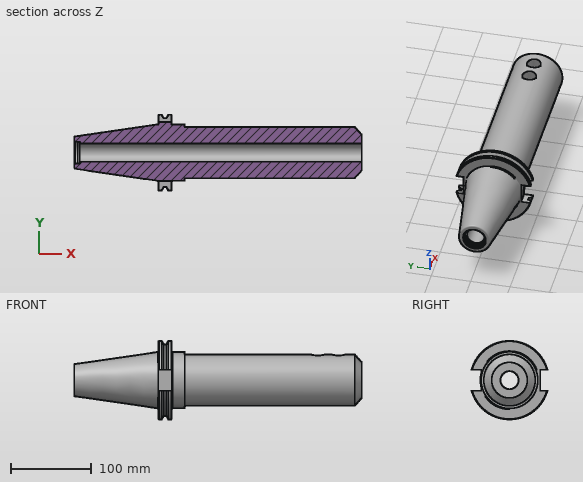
import cadquery as cq
import math

total_length = 355.5

large_end_diameter = 70.0
taper_length = 103.0
taper_ratio = 7 / 24
small_end_diameter = large_end_diameter - taper_length * taper_ratio
small_end_round = 1.8

flange_diameter = 97.5
flange_start = 104.2
flange_width = 16.5
flange_end = flange_start + flange_width
rim_chamfer = 0.7
groove_center = 112.5
groove_floor_diameter = 89.0
groove_floor_width = 3.2
groove_half_angle = 30.0

slot_width = 25.5
slot_floor_front = 35.2
slot_floor_back = 38.0

collar_diameter = 70.0
collar_end = 136.5
body_diameter = 63.5
nose_length = 9.0
nose_face_diameter = 44.0

taper_round = flange_start - taper_length
shoulder_round = 1.0

bore_diameter = 22.0
entry_diameter = 26.5
entry_depth = 4.3
counterbore_diameter = 26.3
counterbore_depth = 7.0
countersink_diameter = 29.0

screw_hole_diameter = 17.5
screw_hole_positions = (301.2, 326.8)


def make_revolved_body():
    """Revolve the complete outer outline about the X axis."""
    flange_radius = flange_diameter / 2
    profile = (
        cq.Workplane("XY")
        .lineTo(0, small_end_diameter / 2)
        .lineTo(taper_length, large_end_diameter / 2)
        .radiusArc((flange_start, large_end_diameter / 2 + taper_round), -taper_round)
        .lineTo(flange_start, flange_radius - rim_chamfer)
        .lineTo(flange_start + rim_chamfer, flange_radius)
        .lineTo(flange_end - rim_chamfer, flange_radius)
        .lineTo(flange_end, flange_radius - rim_chamfer)
        .lineTo(flange_end, collar_diameter / 2 + shoulder_round)
        .radiusArc((flange_end + shoulder_round, collar_diameter / 2), -shoulder_round)
        .lineTo(collar_end, collar_diameter / 2)
        .lineTo(collar_end, body_diameter / 2 + shoulder_round)
        .radiusArc((collar_end + shoulder_round, body_diameter / 2), -shoulder_round)
        .lineTo(total_length - nose_length, body_diameter / 2)
        .lineTo(total_length, nose_face_diameter / 2)
        .lineTo(total_length, 0)
        .close()
    )
    body = profile.revolve(360, (0, 0, 0), (1, 0, 0))
    return body.faces("<X").edges().fillet(small_end_round)


def make_rim_groove():
    """Ring with a trapezoidal section that cuts the V groove."""
    floor_radius = groove_floor_diameter / 2
    rim_radius = flange_diameter / 2
    half_floor = groove_floor_width / 2
    half_mouth = half_floor + (rim_radius - floor_radius) * math.tan(math.radians(groove_half_angle))
    section = [
        (groove_center - half_floor, floor_radius),
        (groove_center + half_floor, floor_radius),
        (groove_center + half_mouth, rim_radius),
        (groove_center - half_mouth, rim_radius),
    ]
    return cq.Workplane("XY").polyline(section).close().revolve(360, (0, 0, 0), (1, 0, 0))


def make_drive_slot(floor_distance, side):
    """Slot through the flange, open toward the given side of Y (+1 or -1)."""
    depth = flange_diameter / 2 - floor_distance
    slot = cq.Workplane("XY").box(flange_width, depth, slot_width, centered=(False, True, True))
    return slot.translate((flange_start, side * (floor_distance + depth / 2), 0))


def make_bore():
    """Through bore, two-step counterbore and 45 degree countersink about the X axis."""
    countersink_depth = (countersink_diameter - entry_diameter) / 2
    profile = (
        cq.Workplane("XY")
        .lineTo(0, countersink_diameter / 2)
        .lineTo(countersink_depth, entry_diameter / 2)
        .lineTo(entry_depth, entry_diameter / 2)
        .lineTo(entry_depth, counterbore_diameter / 2)
        .lineTo(counterbore_depth, counterbore_diameter / 2)
        .lineTo(counterbore_depth, bore_diameter / 2)
        .lineTo(total_length, bore_diameter / 2)
        .lineTo(total_length, 0)
        .close()
    )
    return profile.revolve(360, (0, 0, 0), (1, 0, 0))


def make_screw_holes():
    centers = [(position, 0) for position in screw_hole_positions]
    return cq.Workplane("XY").pushPoints(centers).circle(screw_hole_diameter / 2).extrude(body_diameter / 2)


result = (
    make_revolved_body()
    .cut(make_rim_groove())
    .cut(make_drive_slot(slot_floor_front, -1))
    .cut(make_drive_slot(slot_floor_back, 1))
    .cut(make_bore())
    .cut(make_screw_holes())
)